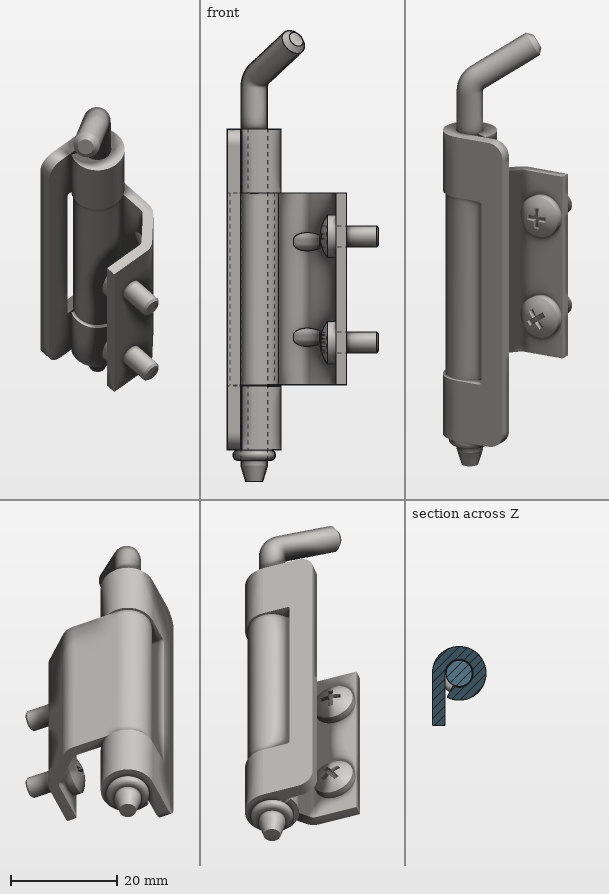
import cadquery as cq
import math


pin_dia = 5.0
pin_radius = pin_dia / 2
tip_z = -6.0
cone_start_z = -3.0
tip_dia = 3.2
bend_start_z = 68.2
bend_radius = 3.0
bend_angle = 60.0
handle_length = 13.1
handle_heading = -52.0
handle_chamfer = 1.0
ring_dia = 8.0
ring_height = 2.0

frame_height = 60.4
bore_radius = 2.6
frame_thickness = 2.5
frame_radius = bore_radius + frame_thickness
leaf_edge_y = -9.9
leaf_corner_radius = 3.0
knuckle_length = 12.0
curl_end_angle = 243.0
window_edge_y = -5.3
window_corner_radius = 0.5

bracket_thickness = 2.0
bracket_radius = bore_radius + bracket_thickness
bracket_clearance = 0.25
bracket_bottom_z = knuckle_length + bracket_clearance
bracket_top_z = frame_height - knuckle_length
bracket_height = bracket_top_z - bracket_bottom_z
first_bend_angle = 44.0
second_bend_angle = 90.0 - first_bend_angle
first_bend_x = 10.7
plate_outer_x = 17.4
plate_end_y = -11.4
first_bend_radius = 1.8
second_bend_radius = 1.2

rib_spacing = 18.0
rib_start = (7.4, bore_radius)
rib_end = (12.3, -0.1)
rib_ridge_width = 0.8
rib_edge_radius = 1.35
rib_depth = 1.6

screw_spacing = 20.0
screw_y = -7.2
shank_dia = 4.0
shank_end_x = 23.4
shank_chamfer = 0.4
head_dia = 8.0
head_rim = 1.6
head_height = 3.0
cross_length = 4.0
cross_width = 1.0
cross_depth = 1.2
cross_turns = [-35.0, 0.0]


def cylinder_z(radius, bottom_z, top_z):
    return cq.Workplane("XY").workplane(offset=bottom_z).circle(radius).extrude(top_z - bottom_z)


def mid_height_pair(spacing):
    middle = frame_height / 2
    return [middle - spacing / 2, middle + spacing / 2]


def make_pin():
    shaft = cq.Workplane("XZ").polyline([
        (0, tip_z),
        (tip_dia / 2, tip_z),
        (pin_radius, cone_start_z),
        (pin_radius, bend_start_z),
        (0, bend_start_z),
    ]).close().revolve(360, (0, 0), (0, 1))
    angle = math.radians(bend_angle)
    bend_end = (bend_radius * (1 - math.cos(angle)), 0, bend_start_z + bend_radius * math.sin(angle))
    bend = (
        cq.Workplane("XY").workplane(offset=bend_start_z).circle(pin_radius)
        .revolve(bend_angle, (bend_radius, 0), (bend_radius, 1))
    )
    handle_direction = (math.sin(angle), 0, math.cos(angle))
    handle = (
        cq.Workplane(cq.Plane(bend_end, (0, 1, 0), handle_direction))
        .circle(pin_radius).extrude(handle_length).faces(">Z").chamfer(handle_chamfer)
    )
    arm = bend.union(handle).rotate((0, 0, 0), (0, 0, 1), handle_heading)
    return shaft.union(arm)


def make_ring():
    round_radius = ring_height / 2
    straight_end = ring_dia / 2 - round_radius
    return (
        cq.Workplane("XZ").moveTo(pin_radius, 0).lineTo(straight_end, 0)
        .threePointArc((ring_dia / 2, -round_radius), (straight_end, -ring_height))
        .lineTo(pin_radius, -ring_height).close()
        .revolve(360, (0, 0), (0, 1))
    )


def make_frame():
    end = math.radians(curl_end_angle)
    end_direction = (math.cos(end), math.sin(end))
    leaf_inner_x = -bore_radius
    frame = (
        cq.Workplane("XY").moveTo(-frame_radius, leaf_edge_y).lineTo(-frame_radius, 0)
        .threePointArc((0, frame_radius), (frame_radius, 0))
        .threePointArc((0, -frame_radius), tuple(frame_radius * c for c in end_direction))
        .lineTo(*(bore_radius * c for c in end_direction))
        .threePointArc((bore_radius, 0), (0, bore_radius))
        .threePointArc((-bore_radius * math.sqrt(0.5), bore_radius * math.sqrt(0.5)), (leaf_inner_x, 0))
        .lineTo(leaf_inner_x, leaf_edge_y).close().extrude(frame_height)
    )
    frame = frame.edges("|X and <Y").fillet(leaf_corner_radius)
    window_width = frame_radius - window_edge_y
    window = (
        cq.Workplane("XY").workplane(offset=knuckle_length)
        .center(0, window_edge_y + window_width / 2)
        .rect(2 * frame_radius, window_width).extrude(frame_height - 2 * knuckle_length)
        .edges("|X and <Y").fillet(window_corner_radius)
    )
    return frame.cut(window)


def make_rib(z):
    run_x = rib_end[0] - rib_start[0]
    run_y = rib_end[1] - rib_start[1]
    ridge_half_width = rib_ridge_width / 2
    half_width = ridge_half_width + rib_edge_radius
    arc_offset = rib_edge_radius * math.sqrt(0.5)
    arc_middle_across = ridge_half_width + arc_offset
    arc_middle_depth = rib_edge_radius - arc_offset
    across = cq.Plane((rib_start[0], rib_start[1], z), (-run_y, run_x, 0), (run_x, run_y, 0))
    return (
        cq.Workplane(across).moveTo(0, -ridge_half_width).lineTo(0, ridge_half_width)
        .threePointArc((arc_middle_depth, arc_middle_across), (rib_edge_radius, half_width))
        .lineTo(rib_depth, half_width).lineTo(rib_depth, -half_width).lineTo(rib_edge_radius, -half_width)
        .threePointArc((arc_middle_depth, -arc_middle_across), (0, -ridge_half_width)).close()
        .extrude(math.hypot(run_x, run_y))
    )


def make_bracket():
    first_setback = bracket_thickness * math.tan(math.radians(first_bend_angle / 2))
    second_setback = bracket_thickness * math.tan(math.radians(second_bend_angle / 2))
    slope = math.tan(math.radians(first_bend_angle))
    outer_y = bracket_radius
    inner_y = outer_y - bracket_thickness
    second_bend_y = outer_y - (plate_outer_x - first_bend_x) * slope
    plate_inner_x = plate_outer_x - bracket_thickness
    outer_bends = [(first_bend_x, outer_y), (plate_outer_x, second_bend_y)]
    inner_bends = [(first_bend_x - first_setback, inner_y), (plate_inner_x, second_bend_y - second_setback)]
    bracket = cq.Workplane("XY").workplane(offset=bracket_bottom_z).polyline(
        [(0, inner_y), (0, outer_y)] + outer_bends
        + [(plate_outer_x, plate_end_y), (plate_inner_x, plate_end_y)] + inner_bends[::-1]
    ).close().extrude(bracket_height)
    middle_z = (bracket_bottom_z + bracket_top_z) / 2
    bend_radii = [
        (inner_bends[0], first_bend_radius),
        (outer_bends[0], first_bend_radius + bracket_thickness),
        (inner_bends[1], second_bend_radius),
        (outer_bends[1], second_bend_radius + bracket_thickness),
    ]
    for (x, y), radius in bend_radii:
        bracket = bracket.edges(cq.NearestToPointSelector((x, y, middle_z))).fillet(radius)
    bracket = bracket.union(cylinder_z(bracket_radius, bracket_bottom_z, bracket_top_z))
    bracket = bracket.cut(cylinder_z(bore_radius, bracket_bottom_z, bracket_top_z))
    for z in mid_height_pair(rib_spacing):
        bracket = bracket.union(make_rib(z))
    for z in mid_height_pair(screw_spacing):
        hole = (
            cq.Workplane("YZ").workplane(offset=plate_inner_x).center(screw_y, z)
            .circle(shank_dia / 2).extrude(bracket_thickness)
        )
        bracket = bracket.cut(hole)
    return bracket


def make_screw(z, cross_turn):
    seat_x = plate_outer_x - bracket_thickness
    crown_x = seat_x - head_height
    rim_x = seat_x - head_rim
    head_radius = head_dia / 2
    shank_radius = shank_dia / 2
    dome_height = head_height - head_rim
    dome_radius = (head_radius ** 2 + dome_height ** 2) / (2 * dome_height)
    dome_centre_x = crown_x + dome_radius
    half_angle = math.asin(head_radius / dome_radius) / 2
    dome_middle = (dome_centre_x - dome_radius * math.cos(half_angle), dome_radius * math.sin(half_angle))
    screw = (
        cq.Workplane("XY").moveTo(crown_x, 0).threePointArc(dome_middle, (rim_x, head_radius))
        .lineTo(seat_x, head_radius).lineTo(seat_x, shank_radius)
        .lineTo(shank_end_x - shank_chamfer, shank_radius)
        .lineTo(shank_end_x, shank_radius - shank_chamfer)
        .lineTo(shank_end_x, 0).close().revolve(360, (0, 0), (1, 0))
    )
    for size in ((cross_length, cross_width), (cross_width, cross_length)):
        screw = screw.cut(cq.Workplane("YZ").workplane(offset=crown_x).rect(*size).extrude(cross_depth))
    return screw.rotate((0, 0, 0), (1, 0, 0), cross_turn).translate((0, screw_y, z))


pin = make_pin()
ring = make_ring()
frame = make_frame()
bracket = make_bracket()
screws = [make_screw(z, turn) for z, turn in zip(mid_height_pair(screw_spacing), cross_turns)]

result = cq.Compound.makeCompound(
    [pin.val(), ring.val(), frame.val(), bracket.val()] + [screw.val() for screw in screws]
)